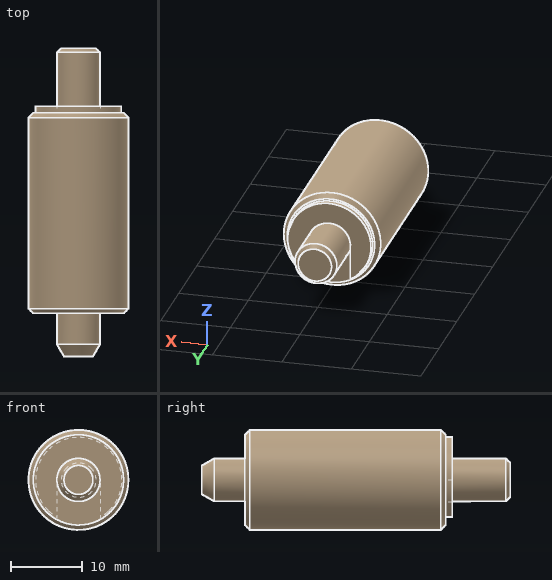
import cadquery as cq
import math

total_length = 43.0
pin_diameter = 6.0
pin_radius = pin_diameter / 2
tip_radius = 2.0
tip_half_angle = 30.0
tip_length = (pin_radius - tip_radius) / math.tan(math.radians(tip_half_angle))
pin_end_chamfer = 0.6

body_diameter = 13.98
body_start = 6.0
body_length = 28.0
body_end = body_start + body_length
body_chamfer = 0.7

clip_diameter = 12.0
clip_thickness = 0.9


def cylinder_along_y(diameter, start, length):
    """Solid cylinder on the Y axis, growing toward +Y from start."""
    plane = cq.Workplane("XZ", origin=(0, start, 0))
    return plane.circle(diameter / 2).extrude(-length)


def make_pin():
    """Full-length pin with a long taper in front and a small chamfer behind."""
    outline = [
        (0, 0),
        (tip_radius, 0),
        (pin_radius, tip_length),
        (pin_radius, total_length - pin_end_chamfer),
        (pin_radius - pin_end_chamfer, total_length),
        (0, total_length),
    ]
    return cq.Workplane("XY").polyline(outline).close().revolve(360, (0, 0, 0), (0, 1, 0))


def make_body():
    """Large cylinder chamfered at both ends."""
    return cylinder_along_y(body_diameter, body_start, body_length).edges("%CIRCLE").chamfer(body_chamfer)


def make_clip():
    """Retaining clip behind the body, with a pin-wide slot open toward -Z."""
    clip = cylinder_along_y(clip_diameter, body_end, clip_thickness)
    slot = cq.Workplane("XY", origin=(0, body_end, 0)).box(
        pin_diameter, clip_thickness, clip_diameter, centered=(True, False, False)
    )
    return clip.cut(slot.translate((0, 0, -clip_diameter)))


result = make_body().union(make_clip()).union(make_pin())